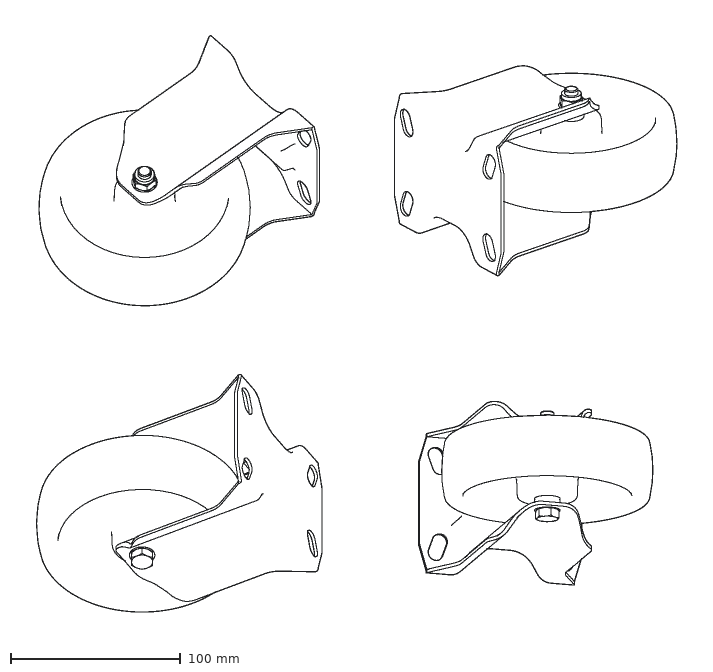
import cadquery as cq
import math


sheet = 2.0
plate_back_y = 93.4
plate_front_y = plate_back_y - sheet
leg_outer_z = 42.5
leg_gap = 45.0
bend_radius = 1.5

strip_half = 6.2
wall_angle = math.radians(60)
valley_radius = 17.7
ridge_radius = 7.5
strip_inner_z = leg_gap / 2
strip_outer_z = strip_inner_z + sheet
flange_inner_z = leg_outer_z - sheet

leg_end_y = -11.5
leg_end_corner_x = 14.0
leg_waist = (23.0, 4.2)
leg_shoulder_y = 13.2
leg_half_width = 32.4
leg_flare_y = 69.6
leg_root_half_width = 45.6
leg_corner_radius = 10.0
flare_radius = 16.7

plate_half_width = 50.1
plate_side_half_height = 25.2
slot_x = 38.8
slot_z = 26.3
slot_width = 9.2
slot_length = 16.8
slot_tilt = 20.0

pad_half_length = 29.4
pad_half_height = 11.4
pad_rise = 7.5
pad_taper = 12.0
pad_top_radius = 2.3
pad_base_radius = 1.5

sleeve_diameter = 15.0
hex_flats = 12.5
hex_height = 5.3
hex_bevel_angle = math.radians(30)
collar_diameter = 11.7
collar_height = 2.5
stud_diameter = 8.0
stud_tip_z = 35.3
stud_chamfer = 0.6

wheel_radius = 62.3
tread_edge_radius = 60.2
tyre_half_width = 17.5
rim_lip_radius = 49.8
rim_root_radius = 48.9
web_half_at_rim = 2.8
web_half_at_hub = 3.9
hub_top_radius = 17.6
hub_root_radius = 18.2
wheel_fillet = 2.0


def mirrored(shape, plane):
    return shape.union(shape.mirror(plane))


def below_leg_face(strip_z, flange_z, valley, ridge):
    """Quarter block between the mid-plane and one face of the upper leg."""
    sin_wall, cos_wall = math.sin(wall_angle), math.cos(wall_angle)
    wall_start_x = strip_half + valley * sin_wall
    wall_start_z = strip_z + valley * (1 - cos_wall)
    wall_end_z = flange_z - ridge * (1 - cos_wall)
    wall_end_x = wall_start_x + (wall_end_z - wall_start_z) / math.tan(wall_angle)
    flange_x = wall_end_x + ridge * sin_wall
    return (
        cq.Workplane("XZ", origin=(0, plate_back_y, 0))
        .lineTo(0, strip_z)
        .lineTo(strip_half, strip_z)
        .radiusArc((wall_start_x, wall_start_z), -valley)
        .lineTo(wall_end_x, wall_end_z)
        .radiusArc((flange_x, flange_z), ridge)
        .lineTo(plate_half_width, flange_z)
        .lineTo(plate_half_width, 0)
        .close()
        .extrude(plate_back_y - leg_end_y)
    )


def leg_plan_block():
    """Half of the leg outline, standing over the full leg height."""
    block = (
        cq.Workplane("XY")
        .polyline([
            (0, leg_end_y),
            (leg_end_corner_x, leg_end_y),
            leg_waist,
            (leg_half_width, leg_shoulder_y),
            (leg_half_width, leg_flare_y),
            (leg_root_half_width, plate_front_y),
            (leg_root_half_width, plate_back_y),
            (0, plate_back_y),
        ])
        .close()
        .extrude(leg_outer_z)
    )
    rounded_corners = [
        (leg_end_corner_x, leg_end_y, leg_corner_radius),
        (*leg_waist, leg_corner_radius),
        (leg_half_width, leg_shoulder_y, leg_corner_radius),
        (leg_half_width, leg_flare_y, flare_radius),
    ]
    for x, y, radius in rounded_corners:
        corner = cq.selectors.NearestToPointSelector((x, y, leg_outer_z / 2))
        block = block.edges("|Z").edges(corner).fillet(radius)
    return block


def plate_block():
    """Quarter of the mounting plate with its slot, before the leg shape trims it."""
    block = (
        cq.Workplane("XZ", origin=(0, plate_back_y, 0))
        .polyline([
            (0, 0),
            (plate_half_width, 0),
            (plate_half_width, plate_side_half_height),
            (leg_root_half_width, flange_inner_z),
            (leg_root_half_width, leg_outer_z),
            (0, leg_outer_z),
        ])
        .close()
        .extrude(sheet)
    )
    slot = (
        cq.Workplane("XZ", origin=(0, plate_back_y, 0))
        .center(slot_x, slot_z)
        .slot2D(slot_length, slot_width, 90 - slot_tilt)
        .extrude(sheet)
    )
    return block.cut(slot)


def add_pad(bracket):
    """Add a tapered pad to the front of the plate, rounded at its top and flared at its base."""
    pad = (
        cq.Workplane("XZ", origin=(0, plate_front_y, 0))
        .rect(2 * pad_half_length, 2 * pad_half_height)
        .extrude(pad_rise, taper=pad_taper)
        .faces("<Y").edges().fillet(pad_top_radius)
    )
    margin = pad_base_radius
    base_zone = cq.selectors.BoxSelector(
        (-pad_half_length - margin, plate_front_y - margin, -pad_half_height - margin),
        (pad_half_length + margin, plate_front_y + margin, pad_half_height + margin),
        boundingbox=True,
    )
    return bracket.union(pad).edges(base_zone).fillet(pad_base_radius)


def make_bracket():
    """Bent sheet-metal plate and legs, with a hole through both legs for the axle sleeve."""
    outer = below_leg_face(
        strip_outer_z, leg_outer_z, valley_radius - sheet, ridge_radius + sheet
    )
    inner = below_leg_face(strip_inner_z, flange_inner_z, valley_radius, ridge_radius)
    leg = outer.cut(inner).intersect(leg_plan_block())
    quarter = leg.union(plate_block().intersect(outer))
    quarter = quarter.edges(">Z").edges(">Y").fillet(bend_radius)
    bracket = add_pad(mirrored(mirrored(quarter, "YZ"), "XY"))
    return bracket.cut(make_sleeve())


def hexagon(base_z):
    """Hexagon with corners towards +Y and -Y, its corners bevelled at both ends."""
    corner_diameter = hex_flats / math.cos(math.pi / 6)
    bevel_width = (corner_diameter - hex_flats) / 2
    bevel_height = bevel_width * math.tan(hex_bevel_angle)
    envelope = (
        cq.Workplane("XY", origin=(0, 0, base_z))
        .circle(corner_diameter / 2)
        .extrude(hex_height)
        .edges("%CIRCLE")
        .chamfer(bevel_height, bevel_width)
    )
    prism = (
        cq.Workplane("XY", origin=(0, 0, base_z))
        .transformed(rotate=(0, 0, 90))
        .polygon(6, corner_diameter)
        .extrude(hex_height)
    )
    return prism.intersect(envelope)


def make_sleeve():
    return (
        cq.Workplane("XY", origin=(0, 0, -strip_outer_z))
        .circle(sleeve_diameter / 2)
        .extrude(2 * strip_outer_z)
    )


def make_axle():
    """Sleeve flush with the outer leg faces, with bolt head below, lock nut and stud end above."""
    nut_top_z = strip_outer_z + hex_height
    collar = (
        cq.Workplane("XY", origin=(0, 0, nut_top_z))
        .circle(collar_diameter / 2)
        .extrude(collar_height)
    )
    stud = (
        cq.Workplane("XY", origin=(0, 0, nut_top_z))
        .circle(stud_diameter / 2)
        .extrude(stud_tip_z - nut_top_z)
        .faces(">Z").edges().chamfer(stud_chamfer)
    )
    head = hexagon(-strip_outer_z - hex_height)
    nut = hexagon(strip_outer_z)
    return make_sleeve().union(head).union(nut).union(collar).union(stud)


def make_wheel():
    """Crowned wheel with a recessed conical web on both sides and a central hub."""
    upper_half = [
        (rim_lip_radius, tyre_half_width),
        (rim_root_radius, web_half_at_rim),
        (hub_root_radius, web_half_at_hub),
        (hub_top_radius, tyre_half_width),
        (0, tyre_half_width),
    ]
    lower_half = [(r, -z) for r, z in reversed(upper_half)]
    wheel = (
        cq.Workplane("XZ")
        .moveTo(tread_edge_radius, -tyre_half_width)
        .threePointArc((wheel_radius, 0), (tread_edge_radius, tyre_half_width))
        .polyline(upper_half + lower_half, includeCurrent=True)
        .close()
        .revolve(360, (0, 0, 0), (0, 1, 0))
    )
    ring_edges = [edge for edge in wheel.edges().vals() if edge.IsClosed()]
    return wheel.newObject(ring_edges).fillet(wheel_fillet)


def make_wheel_with_axle():
    return make_wheel().union(make_axle())


bracket = make_bracket()
wheel_with_axle = make_wheel_with_axle()

result = cq.Compound.makeCompound([bracket.val(), wheel_with_axle.val()])